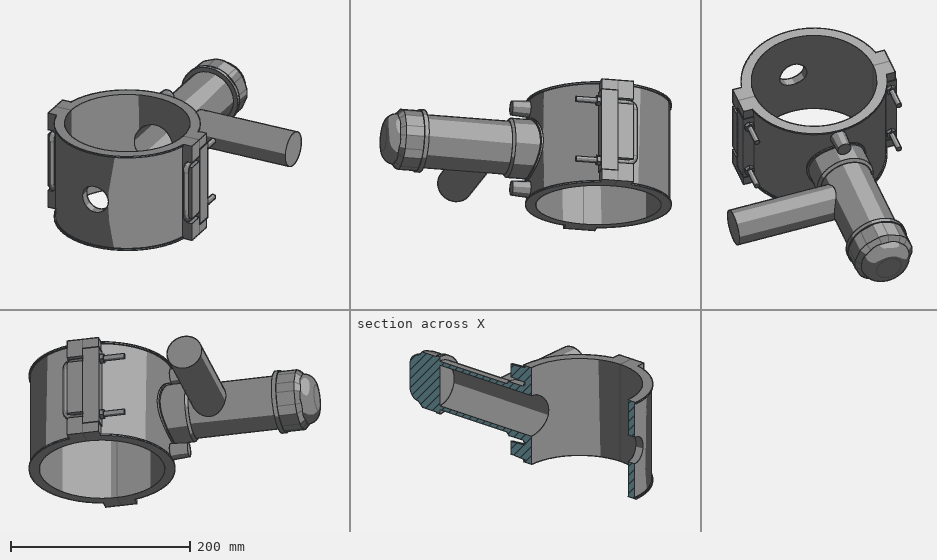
import cadquery as cq
import math

BORE_RADIUS = 70.0
RING_RADIUS = 80.0
LIP_RADIUS = 81.5
LIP_HEIGHT = 2.0
RING_HEIGHT = 118.0
DRAIN_DIAMETER = 32.0

EAR_REACH = 90.0
EAR_THICKNESS = 18.0
COVER_THICKNESS = 1.0
COVER_LENGTH = 94.0
COVER_REACH = EAR_REACH + COVER_THICKNESS

BOLT_DIAMETER = 6.0
BOLT_X = 84.0
BOLT_Z = 35.0
BOLT_END_Y = 46.5
BEND_RADIUS = 8.0
NUT_ACROSS_FLATS = 10.0
NUT_HEIGHT = 4.0
NUT_SIDES = 6

SOCKET_DIAMETER = 66.5
SOCKET_END_Y = 106.0
SOCKET_CHAMFER = 3.0
SADDLE_DIAMETER = 70.0
SADDLE_RADIUS = 82.0
PIPE_DIAMETER = 59.5
PIPE_BORE_DIAMETER = 49.0
COLLAR_DIAMETER = 70.0
COLLAR_START_Y = 203.0
COLLAR_END_Y = 208.0
GRIP_RADIUS = 34.0
GRIP_EDGE_Y = 228.7
GRIP_CHAMFER = 7.0
GRIP_FLAT_COUNT = 8
GRIP_FLAT_HALF_ANGLE = 13.0
DOME_DIAMETER = 56.4
DOME_FILLET = 13.5
DOME_END_Y = 246.9

OUTLET_DIAMETER = 40.0
OUTLET_Y = 129.5
OUTLET_END_X = 142.0

PEG_Z = 47.0
PEG_TIP_DIAMETER = 15.8
PEG_ROOT_DIAMETER = 18.6
PEG_END_Y = 100.0


def box(x_range, y_range, z_range):
    """Axis-aligned block between the given limits."""
    sizes = [high - low for low, high in (x_range, y_range, z_range)]
    corner = (x_range[0], y_range[0], z_range[0])
    return cq.Workplane("XY").box(*sizes, centered=False).translate(corner)


def y_plane(y, x=0.0, z=0.0):
    """Sketch plane at the given point, facing +Y."""
    return cq.Workplane(cq.Plane(origin=(x, y, z), xDir=(1, 0, 0), normal=(0, 1, 0)))


def y_cylinder(diameter, y_start, y_end, x=0.0, z=0.0):
    return y_plane(y_start, x, z).circle(diameter / 2).extrude(y_end - y_start)


def z_cylinder(radius, height, z_centre=0.0):
    bottom = z_centre - height / 2
    return cq.Workplane("XY").workplane(offset=bottom).circle(radius).extrude(height)


def make_ring():
    """Solid ring blank with a raised lip at each end."""
    ring = z_cylinder(RING_RADIUS, RING_HEIGHT)
    lip_z = (RING_HEIGHT - LIP_HEIGHT) / 2
    for z in (-lip_z, lip_z):
        ring = ring.union(z_cylinder(LIP_RADIUS, LIP_HEIGHT, z))
    return ring


def make_ears():
    """Ears across both sides, a cover on the upper half, bolt slots in the lower half."""
    half_height = RING_HEIGHT / 2
    half_cover = COVER_LENGTH / 2
    ears = box((-EAR_REACH, EAR_REACH), (-EAR_THICKNESS, EAR_THICKNESS), (-half_height, half_height))
    cover = box(
        (-COVER_REACH, COVER_REACH),
        (0, EAR_THICKNESS + COVER_THICKNESS),
        (-half_cover, half_cover),
    )
    slot_half = BOLT_DIAMETER / 2
    for side in (-1, 1):
        slot_x = sorted((side * BOLT_X, side * EAR_REACH))
        for z in (-BOLT_Z, BOLT_Z):
            ears = ears.cut(box(slot_x, (-EAR_THICKNESS, 0), (z - slot_half, z + slot_half)))
    return ears.union(cover)


def make_u_bolt(x):
    """U-bolt bent around the lower ear, with a nut on each leg."""
    bend_y = BEND_RADIUS - EAR_THICKNESS - BOLT_DIAMETER / 2
    base_y = bend_y - BEND_RADIUS
    bend_z = BOLT_Z - BEND_RADIUS
    mid = BEND_RADIUS * math.sin(math.radians(45))
    path = (
        cq.Workplane("YZ", origin=(x, 0, 0))
        .moveTo(BOLT_END_Y, BOLT_Z)
        .lineTo(bend_y, BOLT_Z)
        .threePointArc((bend_y - mid, bend_z + mid), (base_y, bend_z))
        .lineTo(base_y, -bend_z)
        .threePointArc((bend_y - mid, -bend_z - mid), (bend_y, -BOLT_Z))
        .lineTo(BOLT_END_Y, -BOLT_Z)
    )
    bolt = y_plane(BOLT_END_Y, x, BOLT_Z).circle(BOLT_DIAMETER / 2).sweep(path)
    nut_corners = NUT_ACROSS_FLATS / math.cos(math.pi / NUT_SIDES)
    nut_y = EAR_THICKNESS + COVER_THICKNESS
    for z in (-BOLT_Z, BOLT_Z):
        nut = y_plane(nut_y).polygon(NUT_SIDES, nut_corners).extrude(NUT_HEIGHT)
        nut = nut.rotate((0, 0, 0), (0, 1, 0), 90).translate((x, 0, z))
        bolt = bolt.union(nut)
    return bolt


def make_socket():
    """Socket standing on a thin saddle that follows the ring."""
    saddle = y_cylinder(SADDLE_DIAMETER, 0, SADDLE_RADIUS)
    saddle = saddle.intersect(z_cylinder(SADDLE_RADIUS, RING_HEIGHT))
    socket = y_cylinder(SOCKET_DIAMETER, 0, SOCKET_END_Y).faces(">Y").chamfer(SOCKET_CHAMFER)
    return socket.union(saddle)


def make_cap():
    """Screw cap: collar, chamfered grip with flats, and rounded dome."""
    flat_distance = GRIP_RADIUS * math.cos(math.radians(GRIP_FLAT_HALF_ANGLE))
    octagon_corners = 2 * flat_distance / math.cos(math.pi / GRIP_FLAT_COUNT)
    grip_length = GRIP_EDGE_Y + GRIP_CHAMFER - COLLAR_END_Y
    octagon = y_plane(COLLAR_END_Y).polygon(GRIP_FLAT_COUNT, octagon_corners).extrude(grip_length)
    grip = y_plane(COLLAR_END_Y).circle(GRIP_RADIUS).extrude(grip_length).intersect(octagon)
    grip = grip.faces(">Y").chamfer(GRIP_CHAMFER)
    dome = y_cylinder(DOME_DIAMETER, COLLAR_END_Y, DOME_END_Y).faces(">Y").edges().fillet(DOME_FILLET)
    collar = y_cylinder(COLLAR_DIAMETER, COLLAR_START_Y, COLLAR_END_Y)
    return collar.union(grip).union(dome)


def make_peg(z):
    """Tapered peg rising from the ring along +Y."""
    return (
        y_plane(RING_RADIUS, 0, z)
        .circle(PEG_ROOT_DIAMETER / 2)
        .workplane(offset=PEG_END_Y - RING_RADIUS)
        .circle(PEG_TIP_DIAMETER / 2)
        .loft()
        .union(y_cylinder(PEG_ROOT_DIAMETER, BORE_RADIUS, RING_RADIUS, 0, z))
    )


def make_clamp_body():
    """Ring, ears, branch, outlet and pegs as one block, with the bores cut."""
    body = make_ring().union(make_ears()).union(make_socket())
    body = body.union(y_cylinder(PIPE_DIAMETER, 0, COLLAR_START_Y)).union(make_cap())
    outlet = cq.Workplane("YZ").center(OUTLET_Y, 0).circle(OUTLET_DIAMETER / 2).extrude(OUTLET_END_X)
    body = body.union(outlet)
    for z in (-PEG_Z, PEG_Z):
        body = body.union(make_peg(z))
    body = body.cut(z_cylinder(BORE_RADIUS, RING_HEIGHT))
    body = body.cut(y_cylinder(PIPE_BORE_DIAMETER, 0, COLLAR_START_Y))
    return body.cut(y_cylinder(DRAIN_DIAMETER, -LIP_RADIUS, 0))


def join_halves(body):
    """Divide the body at Y = 0 and rejoin it, keeping the parting line on its faces."""
    half_height = RING_HEIGHT / 2
    lower_block = box((-COVER_REACH, COVER_REACH), (-LIP_RADIUS, 0), (-half_height, half_height))
    lower_half = body.intersect(lower_block)
    upper_half = body.cut(lower_block)
    return upper_half.union(lower_half, clean=False)


result = join_halves(make_clamp_body())
for bolt_x in (-BOLT_X, BOLT_X):
    result = result.union(make_u_bolt(bolt_x), clean=False)